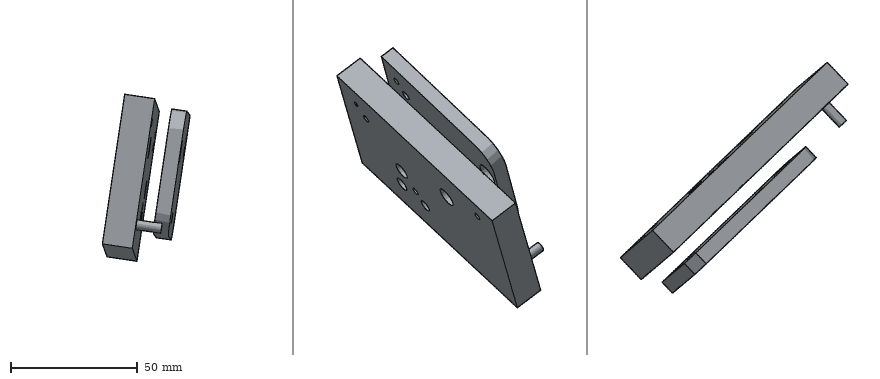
import cadquery as cq


BASE_LENGTH = 100.0
BASE_HEIGHT = 60.0
BASE_THICKNESS = 12.0
BASE_HOLES = [
    (9.8, 9.9, 2.0),
    (14.8, 14.9, 3.0),
    (32.8, 33.0, 7.0),
    (39.8, 39.9, 3.0),
    (44.8, 44.9, 5.0),
    (29.7, 45.0, 6.0),
    (65.8, 17.9, 8.0),
    (87.9, 9.0, 3.0),
]

PIN_DIAMETER = 4.0
PIN_LENGTH = 10.0
PIN_INSET = 10.0

COVER_LENGTH = 70.0
COVER_HEIGHT = 50.0
COVER_THICKNESS = 6.0
COVER_SHIFT = 5.5
COVER_GAP = 6.4
COVER_TURN = 1.3
COVER_CORNER_RADIUS = 10.0
COVER_CHAMFER = 5.0
COVER_HOLES = [
    (7.2, 10.0, 3.0),
    (12.0, 15, 4.0),
    (63.8, 16.3, 9.0),
    (43.2, 42.4, 4.0),
]

TILT_X = -8
TILT_Y = -23.9
TILT_Z = -24.2


def plate(length, height, thickness):
    """Plate with its front, upper left corner at the origin."""
    return cq.Workplane("XY").box(length, thickness, height, centered=False).translate((0, 0, -height))


def rod(x, drop, diameter, start, end):
    """Cylinder through the thickness direction, from depth start to depth end."""
    face = cq.Workplane("XZ", origin=(x, start, -drop))
    return face.circle(diameter / 2).extrude(start - end)


def drill(body, holes, thickness):
    """Cut the listed holes right through a plate."""
    for x, drop, diameter in holes:
        body = body.cut(rod(x, drop, diameter, 0, thickness))
    return body


def tilt(body):
    """Turn a body from the upright position to its final one."""
    for axis, angle in (((1, 0, 0), TILT_X), ((0, 1, 0), TILT_Y), ((0, 0, 1), TILT_Z)):
        body = body.rotate((0, 0, 0), axis, angle)
    return body


def make_base():
    body = drill(plate(BASE_LENGTH, BASE_HEIGHT, BASE_THICKNESS), BASE_HOLES, BASE_THICKNESS)
    pin_x = BASE_LENGTH - PIN_INSET
    pin_drop = BASE_HEIGHT - PIN_INSET
    pin = rod(pin_x, pin_drop, PIN_DIAMETER, BASE_THICKNESS, BASE_THICKNESS + PIN_LENGTH)
    return tilt(body.union(pin))


def make_cover():
    body = plate(COVER_LENGTH, COVER_HEIGHT, COVER_THICKNESS)
    body = body.edges("|Y and >X").fillet(COVER_CORNER_RADIUS)
    body = body.edges("|Y and <X and <Z").chamfer(COVER_CHAMFER)
    body = drill(body, COVER_HOLES, COVER_THICKNESS)
    body = body.rotate((0, 0, 0), (0, 1, 0), COVER_TURN)
    return tilt(body.translate((COVER_SHIFT, BASE_THICKNESS + COVER_GAP, 0)))


base = make_base()
cover = make_cover()
result = cq.Compound.makeCompound([base.val(), cover.val()])